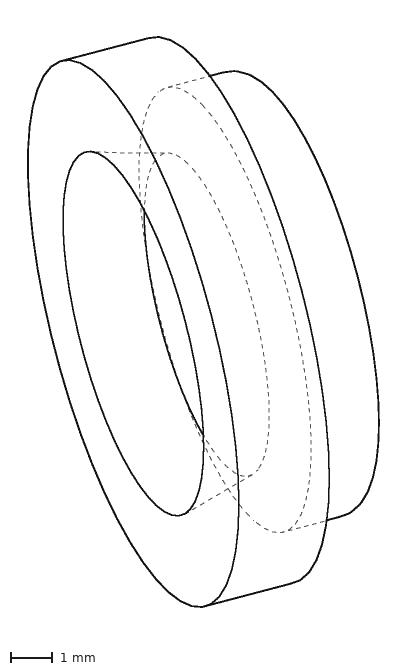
import cadquery as cq
import math

flange_diameter = 13.5
boss_diameter = 11.0
total_depth = 4.25
boss_height = 1.89
flange_thickness = total_depth - boss_height
boss_rounding = 0.4
flange_rounding = 0.1

recess_mouth_diameter = 8.99
recess_depth = 1.89
recess_taper_angle = 15
recess_floor_diameter = recess_mouth_diameter - 2 * recess_depth * math.tan(math.radians(recess_taper_angle))


def disc(diameter, start, length):
    """Solid disc around the Y axis, running from start towards +Y."""
    return cq.Workplane("XZ", origin=(0, start, 0)).circle(diameter / 2).extrude(-length)


flange = disc(flange_diameter, 0, flange_thickness).faces(">Y").edges().fillet(flange_rounding)
boss = disc(boss_diameter, 0, total_depth).faces(">Y").edges().fillet(boss_rounding)

recess = (
    cq.Workplane("XZ")
    .circle(recess_mouth_diameter / 2)
    .workplane(offset=-recess_depth)
    .circle(recess_floor_diameter / 2)
    .loft()
)

result = flange.union(boss).cut(recess)